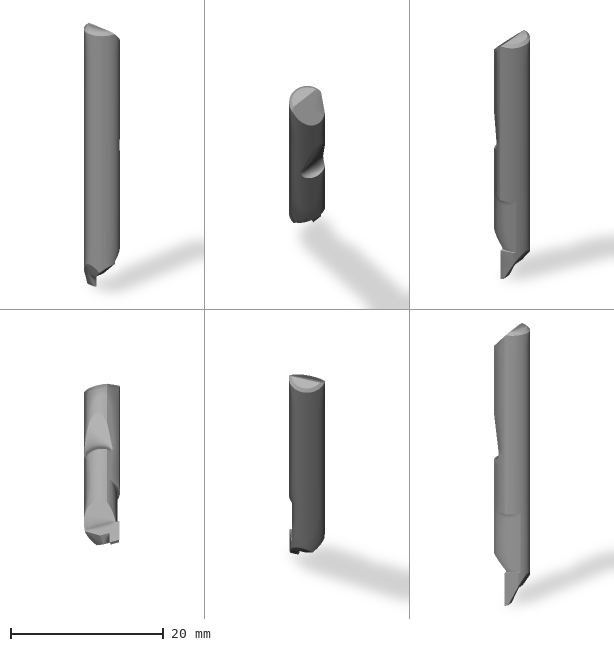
import cadquery as cq
import math

diameter = 4.76
radius = diameter / 2
length = 38.1
bevel_angle = 45.0
chamfer = 0.4
margin = 1.0

top_bevel_y = -0.52
bottom_bevel_z = 4.75

flat_start_y = 0.03
flat_angle = 28.0

notch_bottom_z = 19.6
notch_top_z = 28.5
notch_ramp_angle = 9.6
notch_fillet = 1.2

neck_bottom_z = 4.63
neck_top_z = 12.8
neck_relief_depth = 0.49
neck_back_radius = 3.9
neck_front_radius = 4.3

tip_width = 1.35
tip_length = 2.33
side_relief_angle = 22.0
inner_clearance_angle = 5.0
corner_bevel_x = 0.3
front_slope_angle = 25.0
front_slope_top_z = 4.3
end_relief_height = 0.14


def slope(angle):
    """Rise per unit run of a line at the given angle in degrees."""
    return math.tan(math.radians(angle))


def arc_sagitta(arc_radius, offset):
    """How far an arc falls away from its tangent at the given offset from the tangent point."""
    return arc_radius - math.sqrt(arc_radius**2 - offset**2)


def extrude_along_x(points):
    """Prism of a (y, z) outline that spans the whole bar in X."""
    return cq.Workplane("YZ").polyline(points).close().extrude(radius + margin, both=True)


def extrude_along_z(points, bottom, top):
    """Prism of an (x, y) outline between two heights."""
    return cq.Workplane("XY").workplane(offset=bottom).polyline(points).close().extrude(top - bottom)


def make_bar():
    """Round bar with a chamfered top rim."""
    return cq.Workplane("XY").circle(radius).extrude(length).faces(">Z").chamfer(chamfer)


def top_bevel_cutter():
    """Wedge above the 45 degree plane at the top of the back."""
    outer_y = radius + margin
    drop = (outer_y - top_bevel_y) * slope(bevel_angle)
    rise = margin * slope(bevel_angle)
    return extrude_along_x([
        (top_bevel_y - margin, length + rise),
        (outer_y, length + rise),
        (outer_y, length - drop),
    ])


def rake_cutter():
    """Everything behind the rake face (y = 0) and below the lower back bevel."""
    outer_y = radius + margin
    return extrude_along_x([
        (0, -margin),
        (outer_y, -margin),
        (outer_y, bottom_bevel_z + outer_y * slope(bevel_angle)),
        (0, bottom_bevel_z),
    ])


def flat_cutter():
    """Full length prism outside the inclined clamping flat."""
    start_x = -math.sqrt(radius**2 - flat_start_y**2)
    run = diameter
    return extrude_along_z(
        [
            (start_x, flat_start_y),
            (start_x + run * slope(flat_angle), flat_start_y + run),
            (start_x - margin, flat_start_y + run),
            (start_x - margin, flat_start_y),
        ],
        -margin,
        length + margin,
    )


def notch_cutter():
    """Clamping notch: a level floor, a rounded root and a long ramp upwards."""
    outer_y = radius + margin
    ramp = slope(notch_ramp_angle)
    root_y = radius - (notch_top_z - notch_bottom_z) * ramp
    blank = extrude_along_x([
        (root_y, notch_bottom_z),
        (outer_y, notch_bottom_z),
        (outer_y, notch_top_z + margin / ramp),
    ])
    return blank.edges("|X").edges("<Y").fillet(notch_fillet)


def neck_cutter():
    """Block on the -X side whose inner wall is two convex arcs, tangent to each other at y = 0."""
    wall_x = neck_relief_depth - radius
    back_end_x = wall_x + arc_sagitta(neck_back_radius, radius)
    back_middle_x = wall_x + arc_sagitta(neck_back_radius, radius / 2)
    front_end_x = wall_x + arc_sagitta(neck_front_radius, radius)
    front_middle_x = wall_x + arc_sagitta(neck_front_radius, radius / 2)
    outer_x = -radius - margin
    return (
        cq.Workplane("XY").workplane(offset=neck_bottom_z)
        .moveTo(outer_x, radius)
        .lineTo(back_end_x, radius)
        .threePointArc((back_middle_x, radius / 2), (wall_x, 0))
        .threePointArc((front_middle_x, -radius / 2), (front_end_x, -radius))
        .lineTo(outer_x, -radius)
        .close()
        .extrude(neck_top_z - neck_bottom_z)
    )


def side_relief_cutter():
    """Prism outside the clearance face behind the side cutting edge."""
    return extrude_along_z(
        [
            (-radius, 0),
            (-radius - margin, 0),
            (-radius - margin, -diameter),
            (-radius + diameter * slope(side_relief_angle), -diameter),
        ],
        -margin,
        neck_bottom_z,
    )


def shoulder_cutter():
    """Space beside the narrow tip, closed by the shoulder above it."""
    tip_x = tip_width - radius
    outer_x = radius + margin
    return extrude_along_z(
        [
            (tip_x, 0),
            (outer_x, 0),
            (outer_x, -diameter),
            (tip_x - diameter * slope(inner_clearance_angle), -diameter),
        ],
        -margin,
        tip_length,
    )


def corner_bevel_cutter():
    """Wedge below the 45 degree bevel on the +X end of the shoulder."""
    outer_x = radius + margin
    rise = (outer_x - corner_bevel_x) * slope(bevel_angle)
    outline = [
        (corner_bevel_x, tip_length),
        (outer_x, tip_length),
        (outer_x, tip_length + rise),
    ]
    return cq.Workplane("XZ").polyline(outline).close().extrude(radius + margin)


def front_clearance_cutter():
    """Space below the end relief and in front of the sloped front face."""
    run = slope(front_slope_angle)
    knee_y = -radius + (front_slope_top_z - end_relief_height) * run
    outer_y = -radius - margin
    return extrude_along_x([
        (0, 0),
        (knee_y, end_relief_height),
        (outer_y, front_slope_top_z + margin / run),
        (outer_y, -margin),
        (0, -margin),
    ])


result = (
    make_bar()
    .cut(top_bevel_cutter())
    .cut(rake_cutter())
    .cut(flat_cutter())
    .cut(notch_cutter())
    .cut(neck_cutter())
    .cut(side_relief_cutter())
    .cut(shoulder_cutter())
    .cut(corner_bevel_cutter())
    .cut(front_clearance_cutter())
)